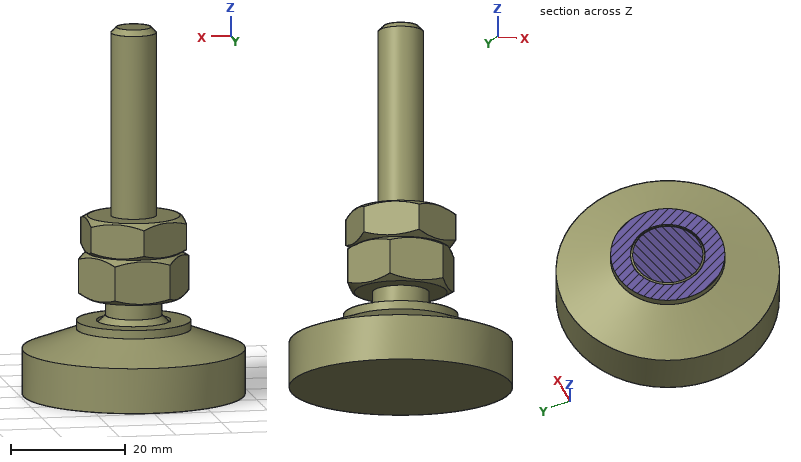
import cadquery as cq
import math

total_height = 65.0
foot_diameter = 39.0
foot_rim_height = 8.0
collar_diameter = 20.0
collar_bottom = 11.5
collar_top = 13.0

neck_diameter = 9.9
flare_diameter = 12.95
flare_top = 13.9
flare_height = (flare_diameter - neck_diameter) / 2
flare_bottom = flare_top - flare_height
hex_bottom = 17.1
spindle_hex_height = 8.0
rod_diameter = 8.0
rod_tip_chamfer = 1.0

across_flats = 17.0
across_corners = across_flats / math.cos(math.radians(30))
hex_face_diameter = 16.2
hex_chamfer_angle = 30.0

nut_bottom = hex_bottom + spindle_hex_height
nut_height = 6.5


def revolve_profile(points):
    """Turn a closed (radius, height) outline about the Z axis."""
    return cq.Workplane("XZ").polyline(points).close().revolve(360, (0, 0), (0, 1))


def chamfered_hexagon(bottom, height, corner_angle):
    """Hexagon with conical corner chamfers at both ends, its first corner at corner_angle from +X."""
    top = bottom + height
    face_radius = hex_face_diameter / 2
    corner_radius = across_corners / 2
    chamfer_height = (corner_radius - face_radius) * math.tan(math.radians(hex_chamfer_angle))
    prism = (
        cq.Workplane("XY")
        .workplane(offset=bottom)
        .polygon(6, across_corners)
        .extrude(height)
        .rotate((0, 0, 0), (0, 0, 1), corner_angle)
    )
    envelope = revolve_profile([
        (0, bottom),
        (face_radius, bottom),
        (corner_radius, bottom + chamfer_height),
        (corner_radius, top - chamfer_height),
        (face_radius, top),
        (0, top),
    ])
    return prism.intersect(envelope)


def make_foot():
    """Round foot with a conical shoulder, a collar and a recess for the flare."""
    foot_radius = foot_diameter / 2
    collar_radius = collar_diameter / 2
    recess_radius = flare_diameter / 2
    return revolve_profile([
        (0, 0),
        (foot_radius, 0),
        (foot_radius, foot_rim_height),
        (collar_radius, collar_bottom),
        (collar_radius, collar_top),
        (recess_radius, collar_top),
        (recess_radius, flare_bottom),
        (0, flare_bottom),
    ])


def make_spindle():
    """Flared neck, wrench hexagon and rod with a chamfered tip."""
    neck_radius = neck_diameter / 2
    neck = revolve_profile([
        (0, flare_bottom),
        (flare_diameter / 2, flare_bottom),
        (neck_radius, flare_top),
        (neck_radius, hex_bottom),
        (0, hex_bottom),
    ])
    hexagon = chamfered_hexagon(hex_bottom, spindle_hex_height, corner_angle=0)
    rod = (
        cq.Workplane("XY")
        .workplane(offset=nut_bottom)
        .circle(rod_diameter / 2)
        .extrude(total_height - nut_bottom)
        .faces(">Z")
        .chamfer(rod_tip_chamfer)
    )
    return neck.union(hexagon).union(rod)


def make_nut():
    """Hexagonal lock nut, turned so that two corners lie on the Y axis."""
    bore = cq.Workplane("XY").workplane(offset=nut_bottom).circle(rod_diameter / 2).extrude(nut_height)
    return chamfered_hexagon(nut_bottom, nut_height, corner_angle=30).cut(bore)


foot = make_foot()
spindle = make_spindle()
nut = make_nut()

result = cq.Compound.makeCompound([body.solids().val() for body in (foot, spindle, nut)])